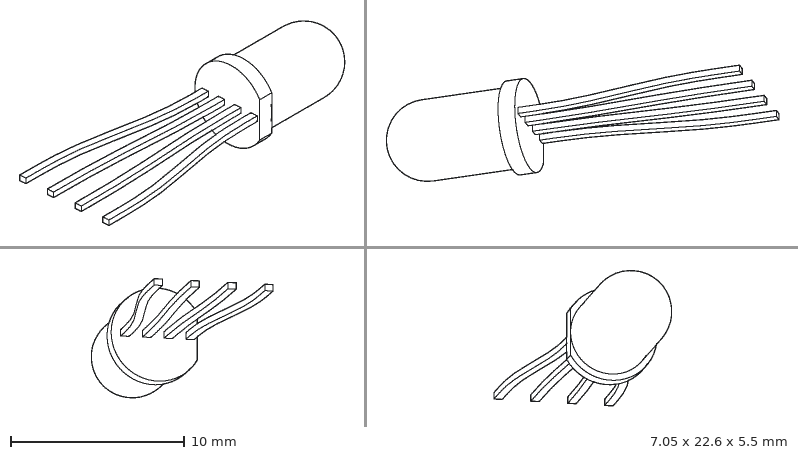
import cadquery as cq

body_diameter = 4.75
body_radius = body_diameter / 2
flange_diameter = 5.5
flange_thickness = 1.02
overall_length = 22.6
lead_length = 13.97
body_length = overall_length - lead_length - flange_thickness - body_radius

lead_count = 4
lead_width = 0.5
lead_thickness = 0.38
overall_width = 7.05
root_pitch = 1.29
tip_pitch = (overall_width - lead_width) / (lead_count - 1)
straight_length = 1.0
first_bend_depth = 4.25
second_bend_depth = 9.29
first_bend_share = 0.18
second_bend_share = 0.84


def cylinder_along_y(radius, start_y, length):
    """Solid cylinder on the Y axis, running toward +Y from start_y."""
    plane = cq.Plane(origin=(0, start_y, 0), xDir=(1, 0, 0), normal=(0, 1, 0))
    return cq.Workplane(plane).circle(radius).extrude(length)


def make_flange():
    """Round rim with one flat on +X, flush with the side of the body."""
    rim = cylinder_along_y(flange_diameter / 2, 0, flange_thickness)
    flat_cutter = (
        cq.Workplane("XY")
        .box(flange_diameter, flange_diameter, flange_diameter, centered=(False, True, True))
        .translate((body_radius, 0, 0))
    )
    return rim.cut(flat_cutter)


def make_bullet():
    """Cylindrical body closed by a hemispherical dome."""
    dome_base_y = flange_thickness + body_length
    return (
        cq.Workplane("XY")
        .moveTo(0, flange_thickness)
        .lineTo(body_radius, flange_thickness)
        .lineTo(body_radius, dome_base_y)
        .radiusArc((0, dome_base_y + body_radius), -body_radius)
        .close()
        .revolve(360, (0, 0, 0), (0, 1, 0))
    )


def make_housing():
    return make_flange().union(make_bullet())


def make_lead(position):
    """Lead at a signed position counted in pitches from the centre."""
    root_x = position * root_pitch
    tip_x = position * tip_pitch
    spread = tip_x - root_x
    bend_points = [
        (root_x + first_bend_share * spread, -first_bend_depth),
        (root_x + second_bend_share * spread, -second_bend_depth),
        (tip_x, -lead_length),
    ]
    path = (
        cq.Workplane("XY")
        .moveTo(root_x, 0)
        .lineTo(root_x, -straight_length)
        .spline(bend_points, tangents=[(0, -1), (0, -1)], includeCurrent=True)
    )
    section = cq.Workplane("XZ", origin=(root_x, 0, 0)).rect(lead_width, lead_thickness)
    return section.sweep(path)


housing = make_housing()
leads = []
for index in range(lead_count):
    leads.append(make_lead(index - (lead_count - 1) / 2))

result = cq.Compound.makeCompound([housing.val(), *[lead.val() for lead in leads]])